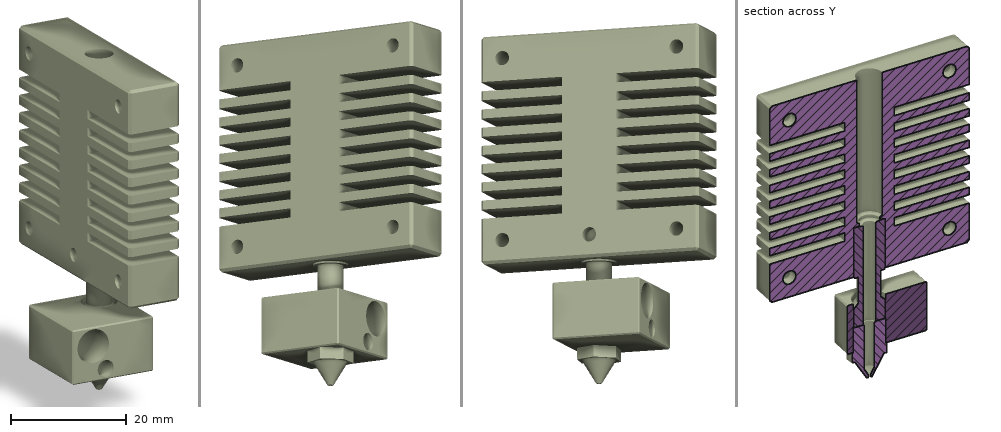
import cadquery as cq
import math


sink_size = 40.0
sink_depth = 10.0
sink_chamfer = 0.5
sink_top = 61.4
sink_bottom = sink_top - sink_size
end_height = 8.0
spine_width = 10.0
slots_per_side = 8
slot_height = (sink_size - 2 * end_height) / (2 * slots_per_side - 1)
screw_hole_diameter = 2.5
screw_hole_inset = 4.0
tube_hole_diameter = 5.05
tube_hole_exit_diameter = 3.9
drill_point_angle = 118.0
exit_length = 0.6

hex_flats = 6.95
hex_height = 2.0
hex_rotation = 36.5
cone_height = 4.0
cone_base_diameter = 5.9
tip_diameter = 1.05
nozzle_bore_diameter = 1.9
orifice_diameter = 0.4
orifice_length = 0.6
bore_taper_angle = 60.0

block_size = 16.0
block_height = 10.0
block_chamfer = 0.25
block_inset = 0.5
block_wall = sink_depth / 2 - block_inset
block_bottom = cone_height + hex_height
block_top = block_bottom + block_height
block_thread_diameter = 6.4
heater_hole_diameter = 6.2
heater_hole_y = -7.5
heater_hole_drop = 3.5
sensor_hole_diameter = 3.15
sensor_hole_y = -5.05
sensor_hole_rise = 2.0

neck_diameter = 4.55
collar_diameter = 6.15
collar_exposed = 0.3
collar_insertion = 10.0
shoulder_drop = 0.2
break_top = sink_bottom + collar_insertion
neck_top = sink_bottom - collar_exposed
neck_bottom = block_top - shoulder_drop
nozzle_joint = block_bottom + block_height / 2
break_bore_diameter = 2.4
break_entry_diameter = 3.15


def revolve_profile(points):
    """Turn an (r, z) half section about the Z axis."""
    return cq.Workplane("XZ").polyline(points).close().revolve(360, (0, 0, 0), (0, 1, 0))


def vertical_cylinder(diameter, bottom, top):
    return cq.Workplane("XY").workplane(offset=bottom).circle(diameter / 2).extrude(top - bottom)


def taper_height(large_diameter, small_diameter, angle):
    """Height of a cone of the given full angle between two diameters."""
    return (large_diameter - small_diameter) / 2 / math.tan(math.radians(angle / 2))


def make_heat_sink():
    middle = (sink_bottom + sink_top) / 2
    sink = (
        cq.Workplane("XY")
        .box(sink_size, sink_depth, sink_size)
        .edges()
        .chamfer(sink_chamfer)
        .translate((0, 0, middle))
    )

    slot_length = (sink_size - spine_width) / 2
    slot_x = (spine_width + slot_length) / 2
    for side in (-1, 1):
        for i in range(slots_per_side):
            slot_z = sink_bottom + end_height + (2 * i + 0.5) * slot_height
            slot = cq.Workplane("XY").box(slot_length, sink_depth, slot_height)
            sink = sink.cut(slot.translate((side * slot_x, 0, slot_z)))

    hole_pitch = sink_size - 2 * screw_hole_inset
    mounting_holes = (
        cq.Workplane("XZ", origin=(0, 0, middle))
        .rarray(hole_pitch, hole_pitch, 2, 2)
        .circle(screw_hole_diameter / 2)
        .extrude(sink_depth / 2, both=True)
    )
    sink = sink.cut(mounting_holes)

    clamp_hole = (
        cq.Workplane("XZ", origin=(0, 0, sink_bottom + screw_hole_inset))
        .circle(screw_hole_diameter / 2)
        .extrude(sink_depth / 2)
    )
    sink = sink.cut(clamp_hole)

    tube_radius = tube_hole_diameter / 2
    exit_radius = tube_hole_exit_diameter / 2
    floor_height = taper_height(tube_hole_diameter, tube_hole_exit_diameter, drill_point_angle)
    floor_bottom = break_top + exit_length
    tube_hole = revolve_profile([
        (0, break_top),
        (exit_radius, break_top),
        (exit_radius, floor_bottom),
        (tube_radius, floor_bottom + floor_height),
        (tube_radius, sink_top),
        (0, sink_top),
    ])
    socket = vertical_cylinder(collar_diameter, sink_bottom, break_top)
    return sink.cut(tube_hole).cut(socket)


def make_heat_break():
    bore_radius = break_bore_diameter / 2
    entry_radius = break_entry_diameter / 2
    neck_radius = neck_diameter / 2
    thread_radius = block_thread_diameter / 2
    collar_radius = collar_diameter / 2
    entry_height = taper_height(break_entry_diameter, break_bore_diameter, drill_point_angle)
    return revolve_profile([
        (bore_radius, nozzle_joint),
        (thread_radius, nozzle_joint),
        (thread_radius, neck_bottom - (thread_radius - neck_radius)),
        (neck_radius, neck_bottom),
        (neck_radius, neck_top),
        (collar_radius, neck_top),
        (collar_radius, break_top),
        (entry_radius, break_top),
        (bore_radius, break_top - entry_height),
    ])


def make_heater_block():
    center_x = block_size / 2 - block_wall
    block = (
        cq.Workplane("XY")
        .box(block_size, block_size, block_height)
        .edges()
        .chamfer(block_chamfer)
        .translate((center_x, -center_x, block_bottom + block_height / 2))
    )
    block = block.cut(vertical_cylinder(block_thread_diameter, block_bottom, block_top))

    cross_holes = [
        (heater_hole_diameter, heater_hole_y, block_top - heater_hole_drop),
        (sensor_hole_diameter, sensor_hole_y, block_bottom + sensor_hole_rise),
    ]
    for diameter, y, z in cross_holes:
        hole = (
            cq.Workplane("YZ", origin=(center_x, y, z))
            .circle(diameter / 2)
            .extrude(block_size / 2, both=True)
        )
        block = block.cut(hole)
    return block


def make_nozzle():
    hex_corners = hex_flats / math.cos(math.radians(30))
    hexagon = (
        cq.Workplane("XY")
        .workplane(offset=cone_height)
        .polygon(6, hex_corners)
        .extrude(hex_height)
        .rotate((0, 0, 0), (0, 0, 1), hex_rotation)
    )
    cone = revolve_profile([
        (0, 0),
        (tip_diameter / 2, 0),
        (cone_base_diameter / 2, cone_height),
        (0, cone_height),
    ])
    thread = vertical_cylinder(block_thread_diameter, block_bottom, nozzle_joint)

    bore_radius = nozzle_bore_diameter / 2
    orifice_radius = orifice_diameter / 2
    taper_length = taper_height(nozzle_bore_diameter, orifice_diameter, bore_taper_angle)
    bore = revolve_profile([
        (0, 0),
        (orifice_radius, 0),
        (orifice_radius, orifice_length),
        (bore_radius, orifice_length + taper_length),
        (bore_radius, nozzle_joint),
        (0, nozzle_joint),
    ])
    return hexagon.union(cone).union(thread).cut(bore)


heat_sink = make_heat_sink()
heat_break = make_heat_break()
heater_block = make_heater_block()
nozzle = make_nozzle()

result = cq.Compound.makeCompound([
    heat_sink.val(),
    heat_break.val(),
    heater_block.val(),
    nozzle.val(),
])